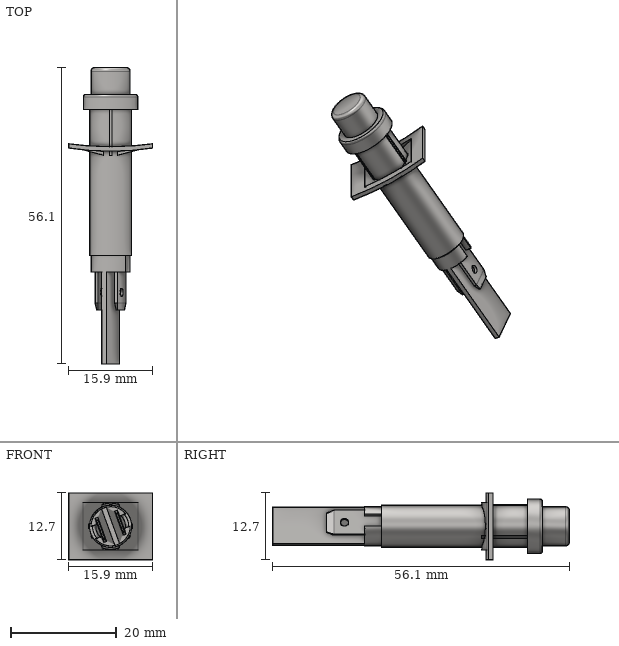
import cadquery as cq
import math


OVERALL_LENGTH = 56.1

CAP_RADIUS = 3.7
CAP_FRONT = 7.95
CAP_FILLET = 0.75

COLLAR_RADIUS = 5.15
COLLAR_FRONT = 2.85
COLLAR_FACE_RADIUS = 4.9
COLLAR_ROUND_LENGTH = 0.5
HEAD_RADIUS = 4.4
HEAD_HEIGHT = 1.75

BODY_RADIUS = 4.0
BODY_END = -27.6
BORE_RADIUS = 3.4
BORE_DEPTH = 1.55
INNER_BORE_RADIUS = 2.8
INNER_BORE_DEPTH = 1.55
RIB_TOP_RADIUS = 4.15
RIB_WIDTH = 0.5
RIB_END = -8.65
RIB_ANGLES = (90, 210, 330)

CLIP_WIDTH = 15.9
CLIP_HEIGHT = 12.7
CLIP_THICKNESS = 0.85
CLIP_BOW = 0.55
CLIP_FRONT = -6.45
WINDOW_WIDTH = 10.4
WINDOW_HEIGHT = 9.05
TAB_THICKNESS = 0.7
TAB_TIP_X = 1.35
TAB_TIP_Y = -8.65
TAB_NECK_X = 1.8
TAB_NECK_Z = 3.55
NOTCH_REACH = 4.15
NOTCH_WIDTH = 0.8

SHOULDER_RADIUS = CAP_RADIUS
SHOULDER_LENGTH = 3.15
SHOULDER_END = BODY_END - SHOULDER_LENGTH
BLADE_THICKNESS = 0.95
BLADE_END = CAP_FRONT - OVERALL_LENGTH
SLOT_WIDTH = 2.45

TERMINAL_TILT = 20
TERMINAL_WIDTH = 4.8
TERMINAL_THICKNESS = 0.55
TERMINAL_OFFSET = 1.95
TERMINAL_END = -37.9
TIP_LENGTH = 1.35
TIP_SIDE_TAPER = 0.5
TIP_FACE_TAPER = 0.14
TERMINAL_HOLE_DIAMETER = 1.5
TERMINAL_HOLE_Y = -34.55

PLUG_END = BODY_END + BORE_DEPTH
NOSE_END = PLUG_END + INNER_BORE_DEPTH


def cylinder(radius, y_low, y_high):
    """Cylinder along Y between two Y positions."""
    return (
        cq.Workplane("YZ")
        .polyline([(y_low, 0), (y_high, 0), (y_high, radius), (y_low, radius)])
        .close()
        .revolve(360, (0, 0, 0), (1, 0, 0))
    )


def block(x_low, x_high, y_low, y_high, height):
    """Box between X and Y limits, centred on z = 0."""
    box = cq.Workplane("XY").box(x_high - x_low, y_high - y_low, height)
    return box.translate(((x_low + x_high) / 2, (y_low + y_high) / 2, 0))


def turned(shape, angle):
    """Shape turned about Y, from +X toward +Z for a positive angle."""
    return shape.rotate((0, 0, 0), (0, 1, 0), -angle)


def make_cap():
    cap = cylinder(CAP_RADIUS, HEAD_HEIGHT, CAP_FRONT)
    return cap.faces(">Y").edges().fillet(CAP_FILLET)


def make_collar():
    """Ring with a rounded rim that meets its flat front face in an edge."""
    round_start = COLLAR_FRONT - COLLAR_ROUND_LENGTH
    profile = (
        cq.Workplane("YZ")
        .lineTo(0, COLLAR_RADIUS)
        .lineTo(round_start, COLLAR_RADIUS)
        .tangentArcPoint((COLLAR_FRONT, COLLAR_FACE_RADIUS), relative=False)
        .lineTo(COLLAR_FRONT, 0)
        .close()
    )
    collar = profile.revolve(360, (0, 0, 0), (1, 0, 0))
    collar = collar.cut(cylinder(CAP_RADIUS, HEAD_HEIGHT, COLLAR_FRONT))
    return collar.cut(cylinder(HEAD_RADIUS, 0, HEAD_HEIGHT))


def make_housing():
    housing = cylinder(BODY_RADIUS, BODY_END, 0).union(cylinder(HEAD_RADIUS, 0, HEAD_HEIGHT))
    for rib in make_ribs():
        housing = housing.union(rib)
    return housing.cut(make_plug())


def make_ribs():
    rib = block(BORE_RADIUS, RIB_TOP_RADIUS, RIB_END, 0, RIB_WIDTH)
    return [turned(rib, angle) for angle in RIB_ANGLES]


def make_plug():
    """Stepped end of the holder, which fills the housing's bore."""
    return cylinder(BORE_RADIUS, BODY_END, PLUG_END).union(cylinder(INNER_BORE_RADIUS, PLUG_END, NOSE_END))


def make_clip():
    half_width = CLIP_WIDTH / 2
    front_middle = CLIP_FRONT - CLIP_BOW
    back_edge = CLIP_FRONT - CLIP_THICKNESS
    back_middle = front_middle - CLIP_THICKNESS
    plate = (
        cq.Workplane("XY")
        .moveTo(-half_width, CLIP_FRONT)
        .threePointArc((0, front_middle), (half_width, CLIP_FRONT))
        .lineTo(half_width, back_edge)
        .threePointArc((0, back_middle), (-half_width, back_edge))
        .close()
        .extrude(CLIP_HEIGHT / 2, both=True)
    )
    clip = plate.cut(block(-WINDOW_WIDTH / 2, WINDOW_WIDTH / 2, back_middle, CLIP_FRONT, WINDOW_HEIGHT))
    tab = make_tab(back_middle)
    return clip.union(tab).union(tab.mirror("YZ"))


def make_tab(back_middle):
    """Tab on the +X side, cut to fit round the housing and its ribs, with a small notch in its middle."""
    root_x = WINDOW_WIDTH / 2
    bow_radius = ((CLIP_WIDTH / 2) ** 2 + CLIP_BOW**2) / (2 * CLIP_BOW)
    root_y = back_middle + bow_radius - math.sqrt(bow_radius**2 - root_x**2)
    tab = (
        cq.Workplane("XY")
        .moveTo(root_x, root_y)
        .lineTo(TAB_TIP_X, TAB_TIP_Y)
        .lineTo(TAB_TIP_X, TAB_TIP_Y + TAB_THICKNESS)
        .lineTo(root_x, root_y + TAB_THICKNESS)
        .close()
        .extrude(WINDOW_HEIGHT / 2, both=True)
    )
    gap = (
        cq.Workplane("XZ", origin=(0, CLIP_FRONT, 0))
        .polyline([
            (0, WINDOW_HEIGHT / 2),
            (TAB_TIP_X, WINDOW_HEIGHT / 2),
            (TAB_NECK_X, TAB_NECK_Z),
            (TAB_NECK_X, -TAB_NECK_Z),
            (TAB_TIP_X, -WINDOW_HEIGHT / 2),
            (0, -WINDOW_HEIGHT / 2),
        ])
        .close()
        .extrude(CLIP_FRONT - TAB_TIP_Y)
    )
    notch = block(0, NOTCH_REACH, TAB_TIP_Y, CLIP_FRONT, NOTCH_WIDTH)
    tab = tab.cut(gap).cut(notch).cut(cylinder(BODY_RADIUS, TAB_TIP_Y, CLIP_FRONT))
    for rib in make_ribs():
        tab = tab.cut(rib)
    return tab


def make_terminal(side):
    """Terminal on the +X (side = 1) or -X (side = -1) side of the blade, before tilting."""
    half_width = TERMINAL_WIDTH / 2
    tip_half_width = half_width - TIP_SIDE_TAPER
    half_thickness = TERMINAL_THICKNESS / 2
    tip_half_thickness = half_thickness - TIP_FACE_TAPER
    tip_start = TERMINAL_END + TIP_LENGTH
    broad_face = (
        cq.Workplane("YZ")
        .polyline([
            (PLUG_END, half_width),
            (tip_start, half_width),
            (TERMINAL_END, tip_half_width),
            (TERMINAL_END, -tip_half_width),
            (tip_start, -half_width),
            (PLUG_END, -half_width),
        ])
        .close()
        .extrude(half_thickness, both=True)
    )
    edge_face = (
        cq.Workplane("XY")
        .polyline([
            (half_thickness, PLUG_END),
            (half_thickness, tip_start),
            (tip_half_thickness, TERMINAL_END),
            (-tip_half_thickness, TERMINAL_END),
            (-half_thickness, tip_start),
            (-half_thickness, PLUG_END),
        ])
        .close()
        .extrude(half_width, both=True)
    )
    hole = (
        cq.Workplane("YZ")
        .center(TERMINAL_HOLE_Y, 0)
        .circle(TERMINAL_HOLE_DIAMETER / 2)
        .extrude(half_thickness, both=True)
    )
    return broad_face.intersect(edge_face).cut(hole).translate((side * TERMINAL_OFFSET, 0, 0))


def make_holder():
    """Holder before tilting, with the pockets that take the terminals and a slot outside each one."""
    shoulder = cylinder(SHOULDER_RADIUS, SHOULDER_END, BODY_END)
    blade = cylinder(SHOULDER_RADIUS, BLADE_END, SHOULDER_END).intersect(
        block(-BLADE_THICKNESS / 2, BLADE_THICKNESS / 2, BLADE_END, SHOULDER_END, 2 * SHOULDER_RADIUS)
    )
    holder = make_plug().union(shoulder).union(blade)
    pocket_inside = TERMINAL_OFFSET - TERMINAL_THICKNESS / 2
    pocket_outside = TERMINAL_OFFSET + TERMINAL_THICKNESS / 2
    pocket = block(pocket_inside, pocket_outside, SHOULDER_END, PLUG_END, TERMINAL_WIDTH)
    slot = block(pocket_outside, SHOULDER_RADIUS, SHOULDER_END, NOSE_END, SLOT_WIDTH)
    for opening in (pocket, slot):
        holder = holder.cut(opening).cut(opening.mirror("YZ"))
    return holder


cap = make_cap()
collar = make_collar()
housing = make_housing()
clip = make_clip()
holder = turned(make_holder(), TERMINAL_TILT)
terminals = [turned(make_terminal(side), TERMINAL_TILT) for side in (-1, 1)]

bodies = [cap, collar, housing, clip, holder, *terminals]

result = cq.Compound.makeCompound([body.solids().val() for body in bodies])